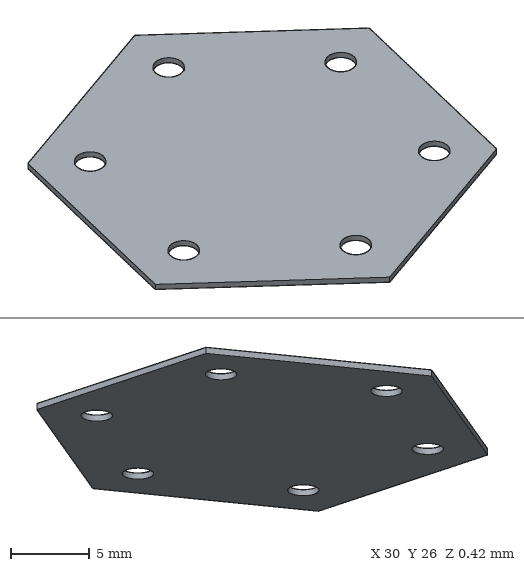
import cadquery as cq

width_across_corners = 30.0
thickness = 0.42
hole_diameter = 2.0
hole_circle_radius = 11.0
corner_count = 6

plate = cq.Workplane("XY").polygon(corner_count, width_across_corners).extrude(thickness)

result = (
    plate.faces(">Z")
    .workplane()
    .polarArray(hole_circle_radius, 0, 360, corner_count)
    .hole(hole_diameter)
)